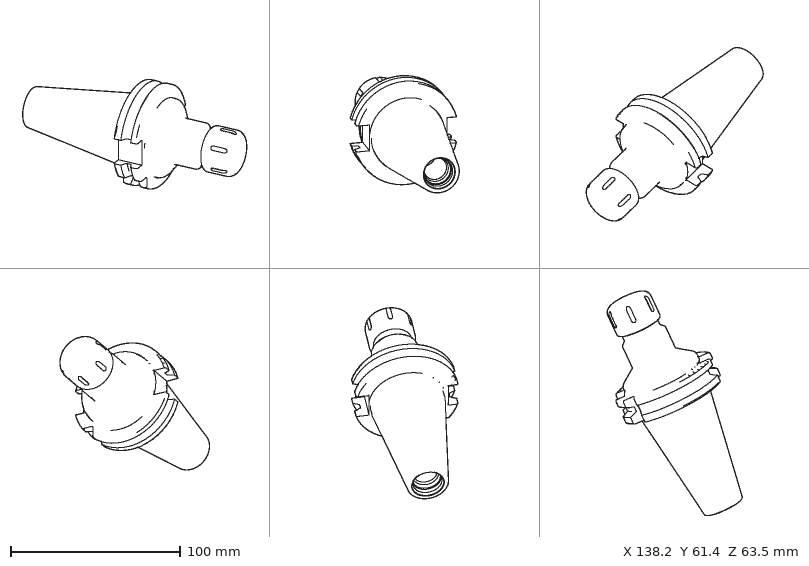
import cadquery as cq
import math

TOTAL_LENGTH = 138.2
TAPER_END = 67.5
RELIEF_START = 68.7
RELIEF_END = 70.4
FLANGE_START = 71.2
FLANGE_END = 87.0
HUB_CONE_START = 91.2
SHANK_START = 98.7
SHANK_END = 113.4
NECK_START = 115.7
NUT_START = 120.3

TAPER_SLOPE = 7 / 24 / 2
TAPER_LARGE_RADIUS = 22.3
TAPER_SMALL_RADIUS = TAPER_LARGE_RADIUS - TAPER_SLOPE * TAPER_END
RELIEF_RADIUS = 22.1
FLANGE_RADIUS = 63.5 / 2
HUB_RADIUS = 24.0
SHANK_RADIUS = 14.1
NECK_RADIUS = 11.6

TAPER_TIP_FILLET = 0.8
RELIEF_FILLET = FLANGE_START - RELIEF_END
FLANGE_EDGE_FILLET = 1.0
GROOVE_FILLET = 0.5
HUB_ROOT_FILLET = 1.2
HUB_SHOULDER_FILLET = 2.6
SHANK_FILLET = 1.1

GROOVE_RADIUS = 28.0
GROOVE_RIM_START = 76.0
GROOVE_FLOOR_START = 77.8
GROOVE_FLOOR_END = 80.9
GROOVE_RIM_END = 82.7

DRIVE_SLOT_WIDTH = 16.2
SHALLOW_SLOT_FLOOR = 24.7
DEEP_SLOT_FLOOR = 22.8
NOTCH_OFFSET = 18.5
NOTCH_FILLET = 1.1

MOUTH_RADIUS = 9.8
MOUTH_CHAMFER = 0.3
LEAD_CONE_END = 2.0
LEAD_RADIUS = 8.7
LEAD_END = 4.5
PILOT_START = 5.1
PILOT_RADIUS = 8.3
PILOT_END = 7.5
PILOT_FLOOR_FILLET = 0.7
DRILL_CONE_END = 9.0
DRILL_RADIUS = 6.9
DRILL_END = 33.2
DRILL_TIP_ANGLE = 118.0

NUT_RADIUS = SHANK_RADIUS
NUT_REAR_FILLET = 1.2
NUT_FRONT_FILLET = 4.1
SPANNER_SLOT_COUNT = 6
SPANNER_SLOT_RADIUS = 1.4
SPANNER_SLOT_DEPTH = 1.1
SPANNER_SLOT_START = 126.6

TOLERANCE = 0.01


def revolve_about_x(profile):
    return profile.close().revolve(360, (0, 0, 0), (1, 0, 0))


def round_circular_edge(body, station, radius, fillet):
    """Fillet the one circular edge that has this station and this radius."""
    circles = [
        edge
        for edge in body.edges("%CIRCLE").vals()
        if abs(edge.Center().x - station) < TOLERANCE
        and abs(edge.radius() - radius) < TOLERANCE
    ]
    return body.newObject(circles).fillet(fillet)


def turned_holder():
    profile = (
        cq.Workplane("XY")
        .moveTo(0, 0)
        .lineTo(0, TAPER_SMALL_RADIUS)
        .lineTo(TAPER_END, TAPER_LARGE_RADIUS)
        .lineTo(RELIEF_START, RELIEF_RADIUS)
        .lineTo(FLANGE_START, RELIEF_RADIUS)
        .lineTo(FLANGE_START, FLANGE_RADIUS)
        .lineTo(GROOVE_RIM_START, FLANGE_RADIUS)
        .lineTo(GROOVE_FLOOR_START, GROOVE_RADIUS)
        .lineTo(GROOVE_FLOOR_END, GROOVE_RADIUS)
        .lineTo(GROOVE_RIM_END, FLANGE_RADIUS)
        .lineTo(FLANGE_END, FLANGE_RADIUS)
        .lineTo(FLANGE_END, HUB_RADIUS)
        .lineTo(HUB_CONE_START, HUB_RADIUS)
        .lineTo(SHANK_START, SHANK_RADIUS)
        .lineTo(SHANK_END, SHANK_RADIUS)
        .lineTo(NECK_START, NECK_RADIUS)
        .lineTo(NUT_START, NECK_RADIUS)
        .lineTo(NUT_START, 0)
    )
    body = revolve_about_x(profile)

    rounded_edges = [
        (0, TAPER_SMALL_RADIUS, TAPER_TIP_FILLET),
        (FLANGE_START, RELIEF_RADIUS, RELIEF_FILLET),
        (FLANGE_START, FLANGE_RADIUS, FLANGE_EDGE_FILLET),
        (GROOVE_FLOOR_START, GROOVE_RADIUS, GROOVE_FILLET),
        (GROOVE_FLOOR_END, GROOVE_RADIUS, GROOVE_FILLET),
        (FLANGE_END, FLANGE_RADIUS, FLANGE_EDGE_FILLET),
        (FLANGE_END, HUB_RADIUS, HUB_ROOT_FILLET),
        (HUB_CONE_START, HUB_RADIUS, HUB_SHOULDER_FILLET),
        (SHANK_START, SHANK_RADIUS, SHANK_FILLET),
        (SHANK_END, SHANK_RADIUS, SHANK_FILLET),
        (NECK_START, NECK_RADIUS, SHANK_FILLET),
    ]
    for station, radius, fillet in rounded_edges:
        body = round_circular_edge(body, station, radius, fillet)
    return body


def drawbar_bore():
    tip_length = DRILL_RADIUS / math.tan(math.radians(DRILL_TIP_ANGLE / 2))
    profile = (
        cq.Workplane("XY")
        .moveTo(0, 0)
        .lineTo(0, MOUTH_RADIUS)
        .lineTo(MOUTH_CHAMFER, MOUTH_RADIUS - MOUTH_CHAMFER)
        .lineTo(LEAD_CONE_END, LEAD_RADIUS)
        .lineTo(LEAD_END, LEAD_RADIUS)
        .lineTo(PILOT_START, PILOT_RADIUS)
        .lineTo(PILOT_END - PILOT_FLOOR_FILLET, PILOT_RADIUS)
        .radiusArc((PILOT_END, PILOT_RADIUS - PILOT_FLOOR_FILLET), PILOT_FLOOR_FILLET)
        .lineTo(DRILL_CONE_END, DRILL_RADIUS)
        .lineTo(DRILL_END, DRILL_RADIUS)
        .lineTo(DRILL_END + tip_length, 0)
    )
    return revolve_about_x(profile)


def flange_cutter(y_start, z_start, y_size, z_size):
    """Block through the flange and its hub fillet, from a (y, z) corner towards +Y and +Z."""
    length = FLANGE_END + HUB_ROOT_FILLET - FLANGE_START
    block = cq.Workplane("XY").box(length, y_size, z_size, centered=False)
    return block.translate((FLANGE_START, y_start, z_start))


def drive_slots():
    bottom = -DRIVE_SLOT_WIDTH / 2
    shallow = flange_cutter(
        -SHALLOW_SLOT_FLOOR - FLANGE_RADIUS, bottom, FLANGE_RADIUS, DRIVE_SLOT_WIDTH
    )
    deep = flange_cutter(DEEP_SLOT_FLOOR, bottom, FLANGE_RADIUS, DRIVE_SLOT_WIDTH)
    hub = cq.Workplane("YZ").workplane(offset=FLANGE_END).circle(HUB_RADIUS).extrude(HUB_ROOT_FILLET)
    return shallow, deep.cut(hub)


def corner_notch():
    start = -NOTCH_OFFSET - FLANGE_RADIUS
    block = flange_cutter(start, start, FLANGE_RADIUS, FLANGE_RADIUS)
    return block.faces(">Y").edges(">Z").fillet(NOTCH_FILLET)


def make_holder():
    body = turned_holder().cut(drawbar_bore())
    for slot in drive_slots():
        body = body.cut(slot)
    return body.cut(corner_notch())


def spanner_slot():
    """Round channel on the +Z side, open to the front and closed by a ball at the rear."""
    ball_station = SPANNER_SLOT_START + SPANNER_SLOT_RADIUS
    axis_height = NUT_RADIUS - SPANNER_SLOT_DEPTH + SPANNER_SLOT_RADIUS
    channel = (
        cq.Workplane("YZ")
        .workplane(offset=ball_station)
        .center(0, axis_height)
        .circle(SPANNER_SLOT_RADIUS)
        .extrude(TOTAL_LENGTH - ball_station)
    )
    ball = cq.Workplane("XY").sphere(SPANNER_SLOT_RADIUS).translate((ball_station, 0, axis_height))
    return channel.union(ball)


def make_nut():
    nut = (
        cq.Workplane("YZ")
        .workplane(offset=NUT_START)
        .circle(NUT_RADIUS)
        .extrude(TOTAL_LENGTH - NUT_START)
    )
    nut = nut.faces("<X").edges().fillet(NUT_REAR_FILLET)
    nut = nut.faces(">X").edges().fillet(NUT_FRONT_FILLET)
    slot = spanner_slot()
    for index in range(SPANNER_SLOT_COUNT):
        angle = index * 360 / SPANNER_SLOT_COUNT
        nut = nut.cut(slot.rotate((0, 0, 0), (1, 0, 0), angle))
    return nut


holder = make_holder()
nut = make_nut()
result = cq.Compound.makeCompound([holder.val(), nut.val()])